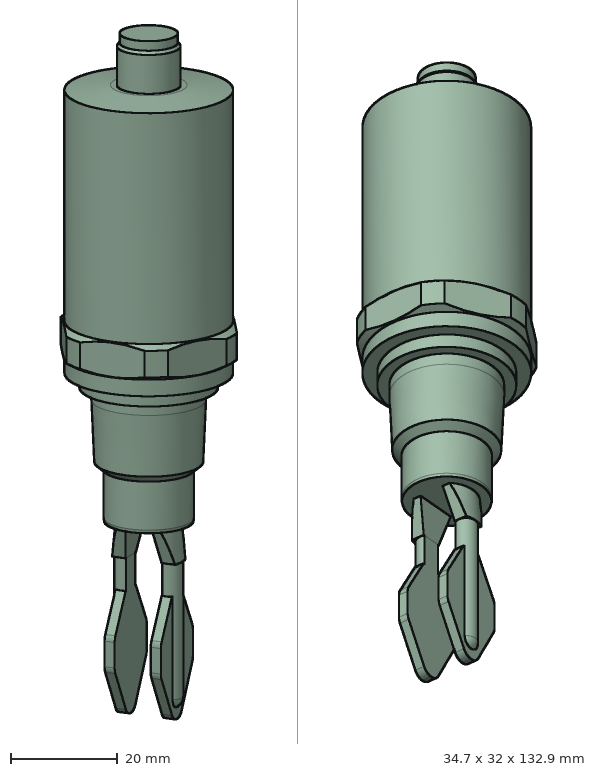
import cadquery as cq
import math

total_height = 132.9
rod_dome_z = 4.3
blade_wide_low_z = 10.0
blade_wide_high_z = 16.2
blade_top_z = 24.3
fork_bend_z = 30.7
neck_bottom_z = 37.9
neck_edge_z = 38.5
neck_top_z = 48.0
thread_bottom_z = 49.5
thread_taper_z = 61.5
thread_top_z = 63.9
collar_bottom_z = 66.7
hex_bottom_z = 69.6
hex_top_z = 77.2
housing_edge_z = 121.9
housing_top_z = 122.8
plug_shoulder_z = 130.4
plug_cap_z = 131.0

neck_radius = 8.5
neck_edge_radius = 8.4
thread_end_radius = 10.2
thread_radius = 10.8
seal_radius = 13.0
housing_radius = 15.8
housing_crown_radius = 7.2
plug_radius = 6.0
plug_cap_radius = 5.5

hex_sides = 6
hex_across_flats = 32.0
hex_corner_diameter = 34.7
hex_bevel_angle = 30.0
hex_rim = 1.2

rod_radius = 2.3
rod_offset = 4.7
tine_inner_x = 3.7
blade_thickness = 2.1
blade_half_width = 7.0
blade_tip_half_width = 1.5
blade_corner_radius = 2.4
root_inner_x = 2.7
root_half_width = 4.5
root_top_radius = 6.2
root_bottom_radius = rod_offset + rod_radius


def turned(profile):
    """Revolve (radius, height) points, closed along the Z axis."""
    closed = [(0, profile[0][1])] + profile + [(0, profile[-1][1])]
    return cq.Workplane("XZ").polyline(closed).close().revolve(360, (0, 0), (0, 1))


def make_body():
    return turned([
        (neck_edge_radius, neck_bottom_z),
        (neck_radius, neck_edge_z),
        (neck_radius, neck_top_z),
        (thread_end_radius, thread_bottom_z),
        (thread_radius, thread_taper_z),
        (thread_radius, thread_top_z),
        (seal_radius, thread_top_z),
        (seal_radius, collar_bottom_z),
        (housing_radius, collar_bottom_z),
        (housing_radius, housing_edge_z),
        (housing_crown_radius, housing_top_z),
        (plug_radius, housing_top_z),
        (plug_radius, plug_shoulder_z),
        (plug_cap_radius, plug_cap_z),
        (plug_cap_radius, total_height),
    ])


def make_hex():
    """Hexagon with rounded corners, bevelled above and below."""
    corner_radius = hex_corner_diameter / 2
    bevel_radius = corner_radius - hex_rim / math.tan(math.radians(hex_bevel_angle))
    across_corners = hex_across_flats / math.cos(math.pi / hex_sides)
    prism = (
        cq.Workplane("XY", origin=(0, 0, hex_bottom_z))
        .polygon(hex_sides, across_corners)
        .extrude(hex_top_z - hex_bottom_z)
    )
    envelope = turned([
        (bevel_radius, hex_bottom_z),
        (corner_radius, hex_bottom_z + hex_rim),
        (corner_radius, hex_top_z - hex_rim),
        (bevel_radius, hex_top_z),
    ])
    return prism.intersect(envelope)


def make_rod():
    """Round-ended rod with a flat on the side facing the other tine."""
    rod = (
        cq.Workplane("XY", origin=(rod_offset, 0, rod_dome_z))
        .circle(rod_radius)
        .extrude(fork_bend_z - rod_dome_z)
    )
    rounded_end = cq.Workplane("XY", origin=(rod_offset, 0, rod_dome_z)).sphere(rod_radius)
    outer_side = cq.Workplane("XY", origin=(tine_inner_x, 0, 0)).box(
        2 * rod_radius, 2 * rod_radius, fork_bend_z, centered=(False, True, False)
    )
    return rod.union(rounded_end).intersect(outer_side)


def make_blade():
    half_outline = [
        (blade_tip_half_width, 0),
        (blade_half_width, blade_wide_low_z),
        (blade_half_width, blade_wide_high_z),
        (rod_radius, blade_top_z),
    ]
    mirrored_half = [(-y, z) for y, z in reversed(half_outline)]
    blade = (
        cq.Workplane("YZ", origin=(tine_inner_x, 0, 0))
        .polyline(half_outline + mirrored_half)
        .close()
        .extrude(blade_thickness)
    )
    tip_and_wide_corners = cq.selectors.BoxSelector(
        (0, -2 * blade_half_width, -blade_thickness),
        (2 * blade_half_width, 2 * blade_half_width, (blade_wide_high_z + blade_top_z) / 2),
    )
    return blade.edges("|X").edges(tip_and_wide_corners).fillet(blade_corner_radius)


def make_root():
    """Wedge that narrows from the neck to the rod, with a conical outer face."""
    root_height = neck_bottom_z - fork_bend_z
    wedge_sides = (
        cq.Workplane("YZ")
        .polyline([
            (-rod_radius, fork_bend_z),
            (rod_radius, fork_bend_z),
            (root_half_width, neck_bottom_z),
            (-root_half_width, neck_bottom_z),
        ])
        .close()
        .extrude(2 * root_bottom_radius)
    )
    outward_lean = (
        cq.Workplane("XZ")
        .polyline([
            (tine_inner_x, fork_bend_z),
            (2 * root_bottom_radius, fork_bend_z),
            (2 * root_bottom_radius, neck_bottom_z),
            (root_inner_x, neck_bottom_z),
        ])
        .close()
        .extrude(root_height, both=True)
    )
    cone = turned([(root_bottom_radius, fork_bend_z), (root_top_radius, neck_bottom_z)])
    return cone.intersect(wedge_sides).intersect(outward_lean)


tine = make_rod().union(make_blade()).union(make_root())
result = make_body().union(make_hex()).union(tine).union(tine.mirror("YZ"))